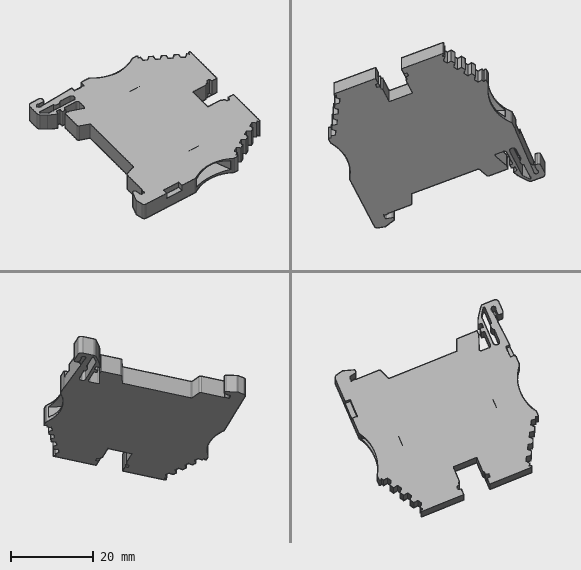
import cadquery as cq
import math

THICKNESS = 5.0
WEB = 0.15
TOP_Y = 21.25
FOOT_Y = -21.25
SIDE_X = 21.0
HOOK_X = -23.2
STEM_TOP_X = -21.75
STEM_LOW_X = -20.95
STEM_STEP_Y = -5.92
STEM_BEND = (-21.65, -6.28)

SEAT_Y = -12.8
SHOULDER_Y = -15.7
SEAT_HALF = 8.97
SHOULDER_HALF = 10.08
SEAT_ROUND = 0.2
SHOULDER_ROUND = 0.55

FIXED_HOOK_X = 15.7
FIXED_THROAT_X = 17.6
FIXED_FOOT_ROUND = 0.35
FIXED_FOOT_LOW = (18.6, -18.95)
FIXED_FOOT_LOW_ROUND = 0.45
FIXED_FOOT_SIDE_Y = -18.4
FIXED_FOOT_SIDE_ROUND = 0.8
NUB_HEIGHT = 0.15

TOOTH_LAND = 1.15
TOOTH_FLANK = 0.4
TOOTH_DEPTH = 1.05
TOOTH_ANGLE = math.radians(60)
TOOTH_START = (13.75, 19.25)
ROOT_COUNT = 4
LAST_CREST_END = (20.3, 9.8)

LIP_X = 14.6
LIP_Y = 20.8
LIP_ROUND = 0.18
LIP_ROOT = (14.05, 20.65)
SIDE_TOP_Y = 10.15
SIDE_TOP_ROUND = 0.2

GRIP_RADIUS = 10.3
GRIP_X = 29.55
GRIP_Y = 2.87
GRIP_BLEND = 0.55

FUNNEL_Y = 2.85
FUNNEL_Z = 2.7
FUNNEL_MOUTH_X = 20.55
FUNNEL_BACK_X = 12.38
FUNNEL_MOUTH_HALF = 5.13
FUNNEL_BACK_HALF = 2.25
FUNNEL_END_HALF_HEIGHT = 1.45
FUNNEL_MID_HALF_HEIGHT = 2.08

NOTCH_HALF = 3.4
NOTCH_LOW_HALF = 3.1
NOTCH_STEP_Y = 17.7
NOTCH_STEP_RISE = 0.25
NOTCH_FLOOR_Y = 13.8
GROOVE_BACK_X = 4.2
GROOVE_MOUTH_Y = (18.48, 19.65)
GROOVE_BACK_Y = (18.75, 19.55)

SHOULDER_END_X = -15.5
RELIEF_X = -17.1
RELIEF_TOP_Y = -10.6
RELIEF_LOW_Y = -14.8
RELIEF_ROUND = 0.6
CATCH_X = -16.3
CATCH_ROOT_X = -17.3
CATCH_TOP_Y = -15.85
TOE = (-16.85, -18.48)
TOE_BOW_RADIUS = 8.85
HOOK_TOP_Y = -17.3
HOOK_TOP_ROUND = 0.57
HOOK_LOW_ROUND = 0.97
HOOK_ROOT_ROUND = 1.15
SLOT_X = (-19.5, -17.9)
SLOT_TOP_Y = -10.55
SLOT_TOP_ROUND = 0.75
SLOT_LOW_Y = (-20.5, -18.8)
SLOT_LOW_WIDTH = 0.35
BUMP_Y = -15.25
BUMP_RADIUS = 1.2
BUMP_HEIGHT = 0.55
GAP_X = -21.75
GAP_TOP_Y = -15.45
GAP_ROUND = 0.45
BULB = (-21.35, -19.25)
BULB_RADIUS = 0.57

POCKET_DEPTH = 1.75
LEFT_POCKET = (-22.55, -20.4, -9.3, -6.4)
RIGHT_POCKET = (19.65, 21.65, -11.55, -7.0)


def rounded_polygon(corners):
    """Closed outline from (x, y) or (x, y, radius) corners."""
    path = []
    for i, corner in enumerate(corners):
        here = cq.Vector(*corner[:2])
        radius = corner[2] if len(corner) == 3 else 0
        if not radius:
            path.append((here,))
            continue
        back = (cq.Vector(*corners[i - 1][:2]) - here).normalized()
        ahead = (cq.Vector(*corners[(i + 1) % len(corners)][:2]) - here).normalized()
        half_angle = back.getAngle(ahead) / 2
        setback = radius / math.tan(half_angle)
        to_middle = radius / math.sin(half_angle) - radius
        middle = here + (back + ahead).normalized() * to_middle
        path.append((here + back * setback, middle, here + ahead * setback))
    outline = cq.Workplane("XY").moveTo(*path[0][-1].toTuple()[:2])
    for stop in path[1:] + path[:1]:
        outline = outline.lineTo(*stop[0].toTuple()[:2])
        if len(stop) == 3:
            outline = outline.threePointArc(stop[1].toTuple()[:2], stop[2].toTuple()[:2])
    return outline.close()


def mirrored(corners):
    """The same corners on the other side of X = 0, in reverse order."""
    return [(-c[0], *c[1:]) for c in reversed(corners)]


def along_slope(start, run, rise):
    """Point reached by going down the right-hand toothed slope by run and outward by rise."""
    cos, sin = math.cos(TOOTH_ANGLE), math.sin(TOOTH_ANGLE)
    return (start[0] + run * cos + rise * sin, start[1] - run * sin + rise * cos)


def toothed_side():
    """Right upper side, from the notch to the start of the finger grip."""
    pitch = 2 * (TOOTH_LAND + TOOTH_FLANK)
    corners = [
        (NOTCH_LOW_HALF, NOTCH_FLOOR_Y),
        (NOTCH_LOW_HALF, NOTCH_STEP_Y),
        (NOTCH_HALF, NOTCH_STEP_Y + NOTCH_STEP_RISE),
        (NOTCH_HALF, TOP_Y),
        (LIP_X, TOP_Y, LIP_ROUND),
        (LIP_X, LIP_Y),
        LIP_ROOT,
        along_slope(TOOTH_START, -TOOTH_FLANK, TOOTH_DEPTH),
    ]
    for i in range(ROOT_COUNT):
        corners.append(along_slope(TOOTH_START, i * pitch, 0))
        corners.append(along_slope(TOOTH_START, i * pitch + TOOTH_LAND, 0))
        crest_start = i * pitch + TOOTH_LAND + TOOTH_FLANK
        corners.append(along_slope(TOOTH_START, crest_start, TOOTH_DEPTH))
        if i < ROOT_COUNT - 1:
            corners.append(along_slope(TOOTH_START, crest_start + TOOTH_LAND, TOOTH_DEPTH))
    corners += [LAST_CREST_END, (SIDE_X, SIDE_TOP_Y, SIDE_TOP_ROUND)]
    return corners


def rail_side():
    """Right and lower outline: fixed foot, rail seat and spring foot."""
    fixed_foot = [
        (SIDE_X, FIXED_FOOT_SIDE_Y, FIXED_FOOT_SIDE_ROUND),
        (*FIXED_FOOT_LOW, FIXED_FOOT_LOW_ROUND),
        (FIXED_HOOK_X, -18.05, FIXED_FOOT_ROUND),
        (FIXED_HOOK_X, -17.25, FIXED_FOOT_ROUND),
        (FIXED_THROAT_X, -16.9, 0.25),
        (FIXED_THROAT_X, SHOULDER_Y),
        (17.05, SHOULDER_Y - NUB_HEIGHT),
        (16.55, SHOULDER_Y - NUB_HEIGHT),
        (16.4, SHOULDER_Y),
    ]
    seat = [
        (SHOULDER_HALF, SHOULDER_Y, SHOULDER_ROUND),
        (SEAT_HALF, SEAT_Y, SEAT_ROUND),
        (-SEAT_HALF, SEAT_Y, SEAT_ROUND),
        (-SHOULDER_HALF, SHOULDER_Y, SHOULDER_ROUND),
    ]
    spring_foot = [
        (SHOULDER_END_X, SHOULDER_Y),
        (SHOULDER_END_X, -14.6),
        (-14.0, RELIEF_TOP_Y, 0.35),
        (RELIEF_X, RELIEF_TOP_Y, RELIEF_ROUND),
        (RELIEF_X, RELIEF_LOW_Y, 0.2),
        (CATCH_X, RELIEF_LOW_Y),
        (CATCH_X, CATCH_TOP_Y, 0.18),
        (CATCH_ROOT_X, CATCH_TOP_Y),
        (CATCH_ROOT_X, -16.9),
        (CATCH_X, -17.1),
        (*TOE, TOE_BOW_RADIUS),
        (-18.9, FOOT_Y, 0.9),
        (HOOK_X, FOOT_Y, HOOK_LOW_ROUND),
        (HOOK_X, HOOK_TOP_Y, HOOK_TOP_ROUND),
        (STEM_LOW_X, HOOK_TOP_Y, HOOK_ROOT_ROUND),
        STEM_BEND,
        (STEM_TOP_X, STEM_STEP_Y),
        (STEM_TOP_X, GRIP_Y),
        (-SIDE_X, GRIP_Y),
    ]
    return fixed_foot + seat + spring_foot


def housing():
    right = toothed_side()
    body = rounded_polygon(right + rail_side() + mirrored(right)).extrude(THICKNESS)
    grips = cq.Workplane("XY").pushPoints([(-GRIP_X, GRIP_Y), (GRIP_X, GRIP_Y)])
    body = body.cut(grips.circle(GRIP_RADIUS).extrude(THICKNESS))
    for side_x, end in ((-SIDE_X, 1), (STEM_TOP_X, -1), (SIDE_X, 1), (SIDE_X, -1)):
        reach = math.sqrt(GRIP_RADIUS**2 - (GRIP_X - abs(side_x)) ** 2)
        corner = (side_x, GRIP_Y + end * reach, THICKNESS / 2)
        body = body.edges(cq.selectors.NearestToPointSelector(corner)).fillet(GRIP_BLEND)
    return body


def wire_funnel():
    """Right-hand funnel: tapers inward in plan, with bowed upper and lower walls."""
    mouth_x = SIDE_X + 0.45
    taper = (FUNNEL_MOUTH_HALF - FUNNEL_BACK_HALF) / (FUNNEL_MOUTH_X - FUNNEL_BACK_X)
    open_half = FUNNEL_MOUTH_HALF + taper * (mouth_x - FUNNEL_MOUTH_X)
    plan = cq.Workplane("XY").polyline([
        (FUNNEL_BACK_X, FUNNEL_Y - FUNNEL_BACK_HALF),
        (mouth_x, FUNNEL_Y - open_half),
        (mouth_x, FUNNEL_Y + open_half),
        (FUNNEL_BACK_X, FUNNEL_Y + FUNNEL_BACK_HALF),
    ]).close().extrude(THICKNESS)
    low_y, high_y = FUNNEL_Y - FUNNEL_MOUTH_HALF, FUNNEL_Y + FUNNEL_MOUTH_HALF
    end_low, end_high = FUNNEL_Z - FUNNEL_END_HALF_HEIGHT, FUNNEL_Z + FUNNEL_END_HALF_HEIGHT
    section = (
        cq.Workplane("YZ")
        .moveTo(low_y, end_low)
        .threePointArc((FUNNEL_Y, FUNNEL_Z - FUNNEL_MID_HALF_HEIGHT), (high_y, end_low))
        .lineTo(high_y, end_high)
        .threePointArc((FUNNEL_Y, FUNNEL_Z + FUNNEL_MID_HALF_HEIGHT), (low_y, end_high))
        .close()
        .extrude(mouth_x)
    )
    return plan.intersect(section)


def notch_groove():
    """Upright groove in the right wall of the notch, closed below by the web."""
    return cq.Workplane("XY").workplane(offset=WEB).polyline([
        (NOTCH_HALF, GROOVE_MOUTH_Y[0]),
        (GROOVE_BACK_X, GROOVE_BACK_Y[0]),
        (GROOVE_BACK_X, GROOVE_BACK_Y[1]),
        (NOTCH_HALF, GROOVE_MOUTH_Y[1]),
    ]).close().extrude(THICKNESS)


def stem_x(y):
    """X of the leaning outer face of the stem at height y."""
    lean = (STEM_LOW_X - STEM_BEND[0]) / (HOOK_TOP_Y - STEM_BEND[1])
    return STEM_LOW_X + lean * (y - HOOK_TOP_Y)


def spring_slot():
    """Through slot with a rounded top, a sloping lower end and a bump on its left wall."""
    left, right = SLOT_X
    slot = rounded_polygon([
        (left, SLOT_LOW_Y[0], 0.2),
        (left, SLOT_TOP_Y, SLOT_TOP_ROUND),
        (right, SLOT_TOP_Y, SLOT_TOP_ROUND),
        (right, SLOT_LOW_Y[1]),
        (left + SLOT_LOW_WIDTH, SLOT_LOW_Y[0], 0.15),
    ]).extrude(THICKNESS)
    bump = cq.Workplane("XY").center(left + BUMP_HEIGHT - BUMP_RADIUS, BUMP_Y)
    return slot.cut(bump.circle(BUMP_RADIUS).extrude(THICKNESS))


def hook_gap():
    """Gap between the stem and the hook, with a bulb at its end, closed below by the web."""
    clear_x = HOOK_X - 0.45
    base = cq.Workplane("XY").workplane(offset=WEB)
    channel = rounded_polygon([
        (stem_x(GAP_TOP_Y), GAP_TOP_Y),
        (stem_x(BULB[1]), BULB[1]),
        (GAP_X, BULB[1]),
        (GAP_X, HOOK_TOP_Y, GAP_ROUND),
        (clear_x, HOOK_TOP_Y),
        (clear_x, GAP_TOP_Y),
    ]).extrude(THICKNESS).translate((0, 0, WEB))
    return channel.union(base.center(*BULB).circle(BULB_RADIUS).extrude(THICKNESS))


def side_pocket(x_from, x_to, y_from, y_to):
    size = (x_to - x_from, y_to - y_from, POCKET_DEPTH)
    corner = (x_from, y_from, THICKNESS - POCKET_DEPTH)
    return cq.Workplane("XY").box(*size, centered=False).translate(corner)


result = housing()
for feature in (wire_funnel(), notch_groove()):
    result = result.cut(feature).cut(feature.mirror("YZ"))
result = result.cut(spring_slot()).cut(hook_gap())
for pocket in (LEFT_POCKET, RIGHT_POCKET):
    result = result.cut(side_pocket(*pocket))